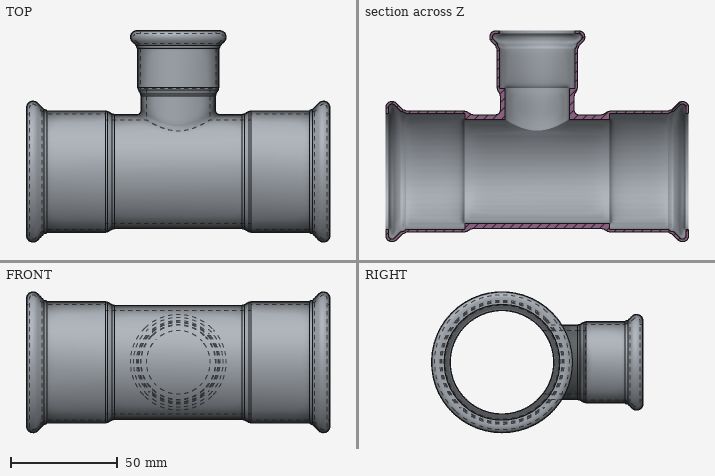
import math

import cadquery as cq


RUN_LENGTH = 142.0
BRANCH_REACH = 66.0

RUN_BEAD_DIAMETER = 66.0
RUN_SOCKET_DIAMETER = 57.0
RUN_TUBE_DIAMETER = 53.4
RUN_NECK_START = 37.4
RUN_STOP_DEPTH = 37.0

BRANCH_BEAD_DIAMETER = 44.8
BRANCH_SOCKET_DIAMETER = 38.0
BRANCH_TUBE_DIAMETER = 34.8
BRANCH_NECK_START = 27.25
BRANCH_STOP_DEPTH = 27.0

SOCKET_WALL = 1.4
TUBE_WALL = 2.5
BEAD_RADIUS = 3.0
BEAD_CONE_ANGLE = 45.0
BEAD_CONE_BLEND = 2.0
NECK_ANGLE = 30.0
NECK_BLEND = 2.0
JUNCTION_FILLET = 2.0


def bead_points(bead_radius, bead_center_r, blend_radius, socket_radius):
    """Points (r, z) of a bead and its cone, from the bead arc's start to the socket.

    The bead arc is centred BEAD_RADIUS behind the mouth plane, which is z = 0.
    """
    slope = math.radians(BEAD_CONE_ANGLE)
    arc_start = (bead_center_r, BEAD_RADIUS - bead_radius)
    arc_top = (bead_center_r + bead_radius, BEAD_RADIUS)
    cone_start = (
        bead_center_r + bead_radius * math.cos(slope),
        BEAD_RADIUS + bead_radius * math.sin(slope),
    )
    cone_corner_z = cone_start[1] + (cone_start[0] - socket_radius) / math.tan(slope)
    tangent = blend_radius * math.tan(slope / 2)
    blend_start = (
        socket_radius + tangent * math.sin(slope),
        cone_corner_z - tangent * math.cos(slope),
    )
    blend_end = (socket_radius, cone_corner_z + tangent)
    return arc_start, arc_top, cone_start, blend_start, blend_end


def draw_bead(profile, points, blend_radius):
    """Continue a profile over the bead, down its cone and onto the socket."""
    arc_start, arc_top, cone_start, blend_start, blend_end = points
    return (
        profile.lineTo(*arc_start)
        .threePointArc(arc_top, cone_start)
        .lineTo(*blend_start)
        .radiusArc(blend_end, -blend_radius)
    )


def revolve_arm(profile):
    return profile.close().revolve(360, (0, 0, 0), (0, 1, 0))


def arm_body(bead_diameter, socket_diameter, tube_diameter, neck_start, length):
    """Solid outer form of one arm, mouth at z = 0 and running along +Z."""
    socket_radius = socket_diameter / 2
    tube_radius = tube_diameter / 2
    bead_center_r = bead_diameter / 2 - BEAD_RADIUS
    bead = bead_points(BEAD_RADIUS, bead_center_r, BEAD_CONE_BLEND, socket_radius)

    slope = math.radians(NECK_ANGLE)
    neck_end = neck_start + (socket_radius - tube_radius) / math.tan(slope)
    tangent = NECK_BLEND * math.tan(slope / 2)
    tangent_r = tangent * math.sin(slope)
    tangent_z = tangent * math.cos(slope)

    profile = draw_bead(cq.Workplane("XZ").moveTo(0, 0), bead, BEAD_CONE_BLEND)
    profile = (
        profile.lineTo(socket_radius, neck_start - tangent)
        .radiusArc((socket_radius - tangent_r, neck_start + tangent_z), NECK_BLEND)
        .lineTo(tube_radius + tangent_r, neck_end - tangent_z)
        .radiusArc((tube_radius, neck_end + tangent), -NECK_BLEND)
        .lineTo(tube_radius, length)
        .lineTo(0, length)
    )
    return revolve_arm(profile)


def arm_cavity(bead_diameter, socket_diameter, tube_diameter, stop_depth, length):
    """Hollow of one arm: mouth lip, seal groove, socket bore, pipe stop and tube bore."""
    socket_bore_radius = socket_diameter / 2 - SOCKET_WALL
    tube_bore_radius = tube_diameter / 2 - TUBE_WALL
    bead_center_r = bead_diameter / 2 - BEAD_RADIUS
    groove_radius = BEAD_RADIUS - SOCKET_WALL
    blend_radius = BEAD_CONE_BLEND + SOCKET_WALL
    groove = bead_points(groove_radius, bead_center_r, blend_radius, socket_bore_radius)

    profile = (
        cq.Workplane("XZ")
        .moveTo(0, 0)
        .lineTo(socket_bore_radius, 0)
        .lineTo(socket_bore_radius, SOCKET_WALL)
    )
    profile = draw_bead(profile, groove, blend_radius)
    profile = (
        profile.lineTo(socket_bore_radius, stop_depth)
        .lineTo(tube_bore_radius, stop_depth)
        .lineTo(tube_bore_radius, length)
        .lineTo(0, length)
    )
    return revolve_arm(profile)


def place_run(arm):
    """Lay an arm along X from the -X mouth and join it with its mirror image."""
    left = arm.rotate((0, 0, 0), (0, 1, 0), 90).translate((-RUN_LENGTH / 2, 0, 0))
    return left.union(left.mirror("YZ"))


def place_branch(arm):
    """Turn an arm so that its mouth faces +Y and it ends on the run axis."""
    return arm.rotate((0, 0, 0), (1, 0, 0), 90).translate((0, BRANCH_REACH, 0))


def fillet_junction(body):
    """Round the saddle-shaped edge where the branch tube enters the run tube."""
    run_radius = RUN_TUBE_DIAMETER / 2
    branch_radius = BRANCH_TUBE_DIAMETER / 2
    saddle_low = math.sqrt(run_radius**2 - branch_radius**2)
    margin = 0.5
    side = branch_radius + margin
    saddle = cq.selectors.BoxSelector(
        (-side, saddle_low - margin, -side),
        (side, run_radius + margin, side),
        boundingbox=True,
    )
    return body.edges(saddle).fillet(JUNCTION_FILLET)


run_sizes = (RUN_BEAD_DIAMETER, RUN_SOCKET_DIAMETER, RUN_TUBE_DIAMETER)
branch_sizes = (BRANCH_BEAD_DIAMETER, BRANCH_SOCKET_DIAMETER, BRANCH_TUBE_DIAMETER)

run_body = place_run(arm_body(*run_sizes, RUN_NECK_START, RUN_LENGTH / 2))
branch_body = place_branch(arm_body(*branch_sizes, BRANCH_NECK_START, BRANCH_REACH))
run_cavity = place_run(arm_cavity(*run_sizes, RUN_STOP_DEPTH, RUN_LENGTH / 2))
branch_cavity = place_branch(arm_cavity(*branch_sizes, BRANCH_STOP_DEPTH, BRANCH_REACH))

body = fillet_junction(run_body.union(branch_body))
result = body.cut(run_cavity).cut(branch_cavity)